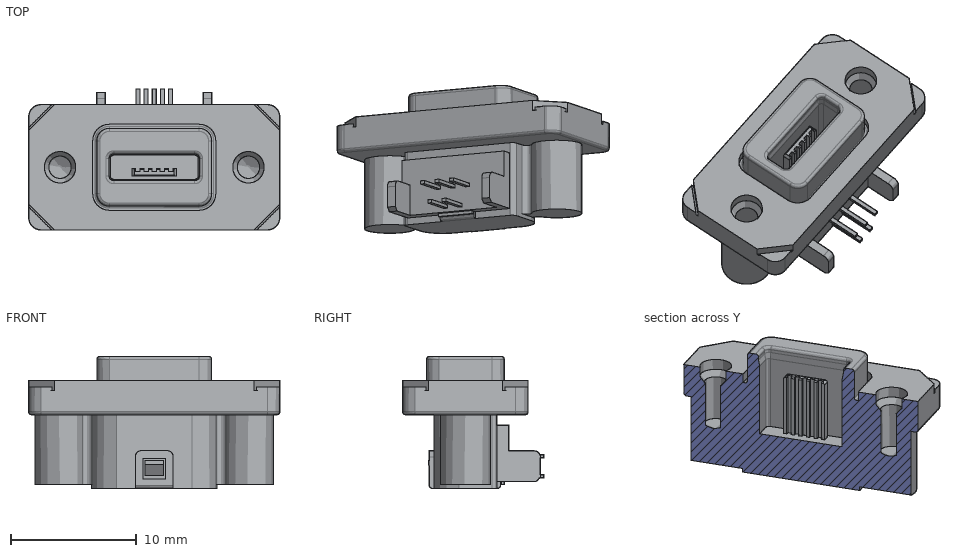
import cadquery as cq
import math


nose_top = 1.91
flange_bottom = -2.75
post_bottom = -8.31
housing_bottom = -8.62

flange_length = 20.0
flange_width = 10.0
flange_radius = 1.0
edge_radius = 0.25
corner_step_leg = 2.06
corner_step_depth = 0.55
corner_groove_width = 0.15
corner_groove_depth = 0.8

nose_length = 9.15
nose_width = 6.2
nose_radius = 1.0
moat_clearance = 0.325
moat_fillet = 0.16
moat_depth = 0.75

mouth_length = 7.2
mouth_width = 2.12
mouth_radius = 0.38
mouth_depth = 0.5
shell_inset = 0.1
shell_lip_height = 0.5
cavity_floor = -5.0

tongue_length = 3.52
tongue_front = -0.71
tongue_back = -0.08
tongue_top = 0.0
tongue_end_chamfer = 0.19
tongue_side_chamfer = 0.1
contact_count = 5
contact_pitch = 0.65
contact_slot_width = 0.37
contact_slot_depth = 0.26

post_x = 7.5
post_radius = 2.0
entry_diameter = 2.5
entry_depth = 0.86
pilot_diameter = 1.78
countersink_depth = 0.5
pilot_depth = 5.0
drill_tip_angle = 118.0

housing_length = 10.0
housing_width = 5.0
front_corner_radius = 2.0
back_corner_radius = 0.4
web_radius = 0.4

clip_width = 3.02
clip_front = -2.88
clip_back = 2.8
clip_top = -5.6
clip_back_top = -8.07
clip_corner_radius = 0.5
clip_bend_radius = 0.25
window_width = 1.8
window_bottom = -7.88
window_top = -6.22
hook_width = 1.44
hook_front = -2.95
hook_top = -6.39
hook_crest_bottom = -6.72
hook_bottom = -7.57

back_block_y = 3.47
back_block_top = -3.57
leg_x = 4.235
leg_thickness = 0.7
leg_end = 5.97
leg_top = -5.61
leg_bottom = -8.07
leg_fillet = 0.5
leg_chamfer = 0.33
tail_end = 6.25
tail_width = 0.34
tail_thickness = 0.26
upper_tail_z = -6.05
lower_tail_z = -7.64
key_front = 2.87
key_back = 3.1
key_bottom = -8.31

mouth_bottom = nose_top - mouth_depth
housing_front = -housing_width / 2
housing_back = housing_width / 2


def block(x_min, x_max, y_min, y_max, z_min, z_max):
    """Box between the given limits."""
    size = (x_max - x_min, y_max - y_min, z_max - z_min)
    return cq.Workplane("XY").box(*size, centered=False).translate((x_min, y_min, z_min))


def rounded_block(length, width, radius, z_min, z_max):
    """Centred box with rounded vertical edges."""
    half_length = length / 2
    half_width = width / 2
    body = block(-half_length, half_length, -half_width, half_width, z_min, z_max)
    return body.edges("|Z").fillet(radius)


def corner_prism(leg, depth):
    """Triangular cutter for the (+X, +Y) flange corner, reaching down from Z = 0."""
    x = flange_length / 2
    y = flange_width / 2
    outline = cq.Workplane("XY").moveTo(x, y).lineTo(x - leg, y).lineTo(x, y - leg).close()
    return outline.extrude(-depth)


def make_flange():
    flange = rounded_block(flange_length, flange_width, flange_radius, flange_bottom, 0)
    flange = flange.faces("<Z").edges().fillet(edge_radius)
    groove_leg = corner_step_leg - corner_groove_width * math.sqrt(2)
    groove = corner_prism(corner_step_leg, corner_groove_depth).cut(
        corner_prism(groove_leg, corner_groove_depth)
    )
    cutter = corner_prism(corner_step_leg, corner_step_depth).union(groove)
    cutter = cutter.union(cutter.mirror("YZ"))
    cutter = cutter.union(cutter.mirror("XZ"))
    return flange.cut(cutter)


def make_moat():
    """Cutter for the channel around the nose, its floor filleted into the nose wall."""
    pocket = rounded_block(
        nose_length + 2 * moat_clearance,
        nose_width + 2 * moat_clearance,
        nose_radius + moat_clearance,
        -moat_depth,
        0,
    )
    core = rounded_block(nose_length, nose_width, nose_radius, -moat_depth, 0)
    channel = pocket.cut(core)
    inner_floor_edges = channel.faces("<Z").val().innerWires()[0].Edges()
    return cq.Workplane(channel.val().fillet(moat_fillet, inner_floor_edges))


def make_nose():
    """Rounded nose with the rounded mouth of the socket in its top face."""
    nose = rounded_block(nose_length, nose_width, nose_radius, flange_bottom, nose_top)
    mouth = rounded_block(mouth_length, mouth_width, mouth_radius, mouth_bottom, nose_top)
    return nose.cut(mouth).faces(">Z").edges().fillet(edge_radius)


def make_shell_cavity():
    """Cutter for the shell below the mouth, narrowed by a tapered lip."""
    lip = (
        cq.Workplane("XY", origin=(0, 0, mouth_bottom))
        .sketch()
        .rect(mouth_length, mouth_width)
        .vertices()
        .fillet(mouth_radius)
        .finalize()
        .extrude(-shell_lip_height, taper=math.degrees(math.atan2(shell_inset, shell_lip_height)))
    )
    shell = rounded_block(
        mouth_length - 2 * shell_inset,
        mouth_width - 2 * shell_inset,
        mouth_radius - shell_inset,
        cavity_floor,
        mouth_bottom,
    )
    return shell.union(lip)


def contact_positions():
    middle = (contact_count - 1) / 2
    return [(i - middle) * contact_pitch for i in range(contact_count)]


def make_tongue():
    tongue = block(
        -tongue_length / 2, tongue_length / 2, tongue_front, tongue_back, cavity_floor, tongue_top
    )
    tongue = tongue.edges("|Y and >Z").chamfer(tongue_end_chamfer)
    tongue = tongue.edges("|X and >Z").chamfer(tongue_side_chamfer)
    for x in contact_positions():
        tongue = tongue.cut(
            block(
                x - contact_slot_width / 2,
                x + contact_slot_width / 2,
                tongue_back - contact_slot_depth,
                tongue_back,
                cavity_floor,
                tongue_top,
            )
        )
    return tongue


def mirrored_pair(body):
    """The body and its mirror image across X = 0."""
    return body.union(body.mirror("YZ"))


def make_housing():
    half_length = housing_length / 2
    housing = block(
        -half_length, half_length, housing_front, housing_back, housing_bottom, flange_bottom
    )
    housing = housing.edges("|Z and <Y").fillet(front_corner_radius)
    return housing.edges("|Z and >Y").fillet(back_corner_radius)


def make_post():
    """Right-hand screw post and the concave web that joins it to the housing."""
    half_length = housing_length / 2
    height = flange_bottom - post_bottom
    base = cq.Workplane("XY", origin=(0, 0, post_bottom))
    post = base.center(post_x, 0).circle(post_radius).extrude(height)

    reach = post_radius + web_radius
    back_x = half_length + web_radius
    back_y = math.sqrt(reach**2 - (post_x - back_x) ** 2)

    corner_x = half_length - front_corner_radius
    corner_y = housing_front + front_corner_radius
    span = math.hypot(post_x - corner_x, corner_y)
    reach_to_corner = front_corner_radius + web_radius
    along = (reach**2 - reach_to_corner**2 + span**2) / (2 * span)
    across = math.sqrt(reach**2 - along**2)
    direction_x = (corner_x - post_x) / span
    direction_y = corner_y / span
    front_x = post_x + along * direction_x - across * direction_y
    front_y = along * direction_y + across * direction_x

    web = (
        base.moveTo(corner_x, corner_y)
        .lineTo(front_x, front_y)
        .lineTo(post_x, 0)
        .lineTo(back_x, back_y)
        .lineTo(corner_x, back_y)
        .close()
        .extrude(height)
    )
    for x, y in ((front_x, front_y), (back_x, back_y)):
        web = web.cut(base.center(x, y).circle(web_radius).extrude(height))
    return post.union(web)


def make_screw_hole():
    """Cutter for the right-hand hole: entry bore, countersink and pilot with a drill tip."""
    entry_radius = entry_diameter / 2
    pilot_radius = pilot_diameter / 2
    tip_height = pilot_radius / math.tan(math.radians(drill_tip_angle / 2))
    return (
        cq.Workplane("XZ")
        .lineTo(entry_radius, 0)
        .lineTo(entry_radius, -entry_depth)
        .lineTo(pilot_radius, -entry_depth - countersink_depth)
        .lineTo(pilot_radius, -pilot_depth)
        .lineTo(0, -pilot_depth - tip_height)
        .close()
        .revolve()
        .translate((post_x, 0, 0))
    )


def make_clip():
    """Strap with a windowed front tab, a hook in the window and a turned-up back end."""
    half_clip = clip_width / 2
    half_window = window_width / 2
    tab = block(-half_clip, half_clip, clip_front, 0, housing_bottom, clip_top)
    tab = tab.edges("|Y and >Z").fillet(clip_corner_radius)
    tab = tab.edges("|X and <Y and <Z").fillet(clip_bend_radius)
    window = block(
        -half_window, half_window, clip_front, housing_front, window_bottom, window_top
    )
    back_end = block(-half_clip, half_clip, 0, clip_back, housing_bottom, clip_back_top)
    back_end = back_end.edges("|X and >Y and <Z").fillet(clip_bend_radius)
    hook = (
        cq.Workplane("YZ")
        .moveTo(housing_front, hook_top)
        .lineTo(hook_front, hook_top)
        .lineTo(hook_front, hook_crest_bottom)
        .lineTo(housing_front, hook_bottom)
        .lineTo(0, hook_bottom)
        .lineTo(0, hook_top)
        .close()
        .extrude(hook_width / 2, both=True)
    )
    return tab.cut(window).union(back_end).union(hook)


def make_leg():
    """Right-hand mounting leg, an L-shaped plate."""
    x_min = leg_x - leg_thickness / 2
    x_max = leg_x + leg_thickness / 2
    foot = block(x_min, x_max, 0, leg_end, leg_bottom, leg_top)
    foot = foot.edges("|X and >Y and >Z").fillet(leg_fillet)
    foot = foot.edges("|X and >Y and <Z").chamfer(leg_chamfer)
    return foot.union(block(x_min, x_max, 0, back_block_y, leg_bottom, back_block_top))


def make_back_block():
    """Block between the legs, with a small key below it and staggered contact tails."""
    back = block(-leg_x, leg_x, 0, back_block_y, leg_bottom, back_block_top)
    back = back.union(
        block(-clip_width / 2, clip_width / 2, key_front, key_back, key_bottom, leg_bottom)
    )
    for i, x in enumerate(contact_positions()):
        z = upper_tail_z if i % 2 == 0 else lower_tail_z
        tail = block(
            x - tail_width / 2,
            x + tail_width / 2,
            housing_back,
            tail_end,
            z - tail_thickness / 2,
            z + tail_thickness / 2,
        )
        back = back.union(tail)
    return back


result = (
    make_flange()
    .union(make_nose())
    .cut(make_moat())
    .union(make_housing())
    .union(mirrored_pair(make_post()))
    .union(make_clip())
    .union(mirrored_pair(make_leg()))
    .union(make_back_block())
    .cut(mirrored_pair(make_screw_hole()))
    .cut(make_shell_cavity())
    .union(make_tongue())
)